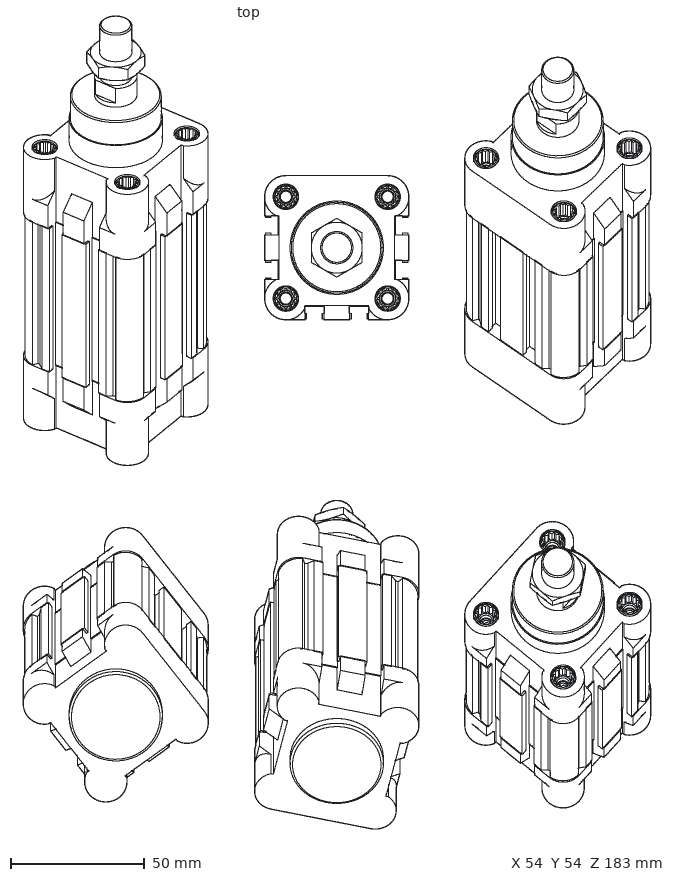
import cadquery as cq
import math

width = 54.0
half = width / 2
boss_dia = 16.0
boss_radius = boss_dia / 2
screw_spacing = half - boss_radius
slot_half = 11.9
slot_floor = 21.6

overall_height = 183.0
cap_bottom = 4.4
tube_bottom = 33.5
tube_top = 99.5
cap_top = 129.5
collar_top = 139.8
neck_top = 150.6
shoulder_top = 159.2

pad_height = 10.6
pad_slope_height = half - slot_floor
pad_overlap = 1.8
middle_pad_half = 4.8
side_pad_outer = 19.0

tube_half = 26.7
tube_slot_floor = 22.0
tube_corner_center = 18.3
tube_corner_radius = tube_half - tube_corner_center
rib_half = 5.5
strip_inner = 11.3
lip_thickness = 2.2
strip_outer = 14.8
groove_bend = (16.8, 25.0)
groove_bottom = (18.0, 24.7)
groove_outer = 19.2

collar_dia = 35.0
neck_dia = 34.0
neck_chamfer = 0.5
spigot_chamfer = 1.0

screw_hole_dia = 9.5
screw_head_dia = 9.0
screw_head_top_dia = 8.0
screw_head_sink = 0.2
screw_gap_depth = 1.8
socket_points = 12
socket_outer_dia = 7.7
socket_inner_dia = 6.2
socket_depth = 7.3
countersink_dia = 6.0
thread_dia = 5.0
thread_depth = 3.7
screw_core_dia = 4.2
screw_core_depth = 5.5
drill_tip_angle = 120.0

shoulder_dia = 16.0
rod_dia = 12.0
rod_chamfer = 0.5
flats_width = 13.0
flats_bottom = 152.6

nut_flats = 19.0
nut_bottom = 164.0
nut_height = 6.2
nut_chamfer = 0.7


def box(x_range, y_range, z_range):
    """Box between the given limits."""
    (x0, x1), (y0, y1), (z0, z1) = x_range, y_range, z_range
    return cq.Workplane("XY").box(x1 - x0, y1 - y0, z1 - z0, centered=False).translate((x0, y0, z0))


def disc(diameter, bottom, top):
    """Upright cylinder on the centre line."""
    return cq.Workplane("XY").workplane(offset=bottom).circle(diameter / 2).extrude(top - bottom)


def around(shape, angles):
    """The shape turned about the centre line to each of the angles, joined together."""
    turned = [shape.rotate((0, 0, 0), (0, 0, 1), angle) for angle in angles]
    joined = turned[0]
    for copy in turned[1:]:
        joined = joined.union(copy)
    return joined


def pad(x0, x1, tube_end, direction):
    """Pad on the -Y side that rises from the tube end and slopes back to the recess floor."""
    outer_end = tube_end + direction * pad_height
    inner_end = outer_end + direction * pad_slope_height
    root = -slot_floor + pad_overlap
    return (
        cq.Workplane("YZ", origin=(x0, 0, 0))
        .moveTo(-half, tube_end)
        .lineTo(-half, outer_end)
        .lineTo(-slot_floor, inner_end)
        .lineTo(root, inner_end)
        .lineTo(root, tube_end)
        .close()
        .extrude(x1 - x0)
    )


def end_cap(bottom, top, tube_end, direction):
    """End cap with four round corners, recesses on three sides and a flat +Y side."""
    height = top - bottom
    bosses = (
        cq.Workplane("XY").workplane(offset=bottom)
        .rect(2 * screw_spacing, 2 * screw_spacing, forConstruction=True)
        .vertices().circle(boss_radius).extrude(height)
    )
    core = box((-slot_floor, slot_floor), (-slot_floor, slot_floor), (bottom, top))
    back = box((-screw_spacing, screw_spacing), (0, half), (bottom, top))
    slot = box((-slot_half, slot_half), (-half, -slot_floor), (bottom, top))
    recessed_sides = (0, 90, -90)
    cap = core.union(bosses).union(back).cut(around(slot, recessed_sides))
    pads = (
        pad(-middle_pad_half, middle_pad_half, tube_end, direction)
        .union(pad(slot_half, side_pad_outer, tube_end, direction))
        .union(pad(-side_pad_outer, -slot_half, tube_end, direction))
    )
    return cap.union(around(pads, recessed_sides))


def tube():
    """Profile tube with round corners, V grooves beside them and a T-shaped slot pair on each side."""
    height = tube_top - tube_bottom
    body = cq.Workplane("XY").workplane(offset=tube_bottom).rect(2 * tube_half, 2 * tube_half).extrude(height)
    body = body.edges("|Z").fillet(tube_corner_radius)
    groove = (
        cq.Workplane("XY").workplane(offset=tube_bottom)
        .polyline([(strip_outer, -tube_half), (groove_bend[0], -groove_bend[1]),
                   (groove_bottom[0], -groove_bottom[1]), (groove_outer, -tube_half)])
        .close().extrude(height)
    )
    z_range = (tube_bottom, tube_top)
    opening = box((rib_half, strip_inner), (-tube_half, -tube_slot_floor), z_range)
    undercut = box((middle_pad_half, slot_half), (lip_thickness - tube_half, -tube_slot_floor), z_range)
    right_cuts = groove.union(opening).union(undercut)
    cuts = right_cuts.union(right_cuts.mirror("YZ"))
    return body.cut(around(cuts, (0, 90, 180, 270)))


def screw_recesses():
    """Recesses in the four corners of the upper cap; each leaves the head of a corner screw standing in it."""
    head_radius = screw_head_dia / 2
    head_top_radius = screw_head_top_dia / 2
    hole_radius = screw_hole_dia / 2
    head_top = cap_top - screw_head_sink
    gap_floor = head_top - screw_gap_depth
    gap = (
        cq.Workplane("XZ")
        .polyline([(0, cap_top), (hole_radius, cap_top), (hole_radius, gap_floor), (head_radius, gap_floor),
                   (head_radius, head_top - (head_radius - head_top_radius)), (head_top_radius, head_top),
                   (0, head_top)])
        .close().revolve(360, (0, 0, 0), (0, 1, 0))
    )
    socket_floor = head_top - socket_depth
    half_pitch = math.pi / socket_points
    radii = (socket_outer_dia / 2, socket_inner_dia / 2)
    star = [
        (radii[i % 2] * math.cos(i * half_pitch), radii[i % 2] * math.sin(i * half_pitch))
        for i in range(2 * socket_points)
    ]
    socket = cq.Workplane("XY").workplane(offset=socket_floor).polyline(star).close().extrude(socket_depth)
    core_radius = screw_core_dia / 2
    thread_radius = thread_dia / 2
    countersink_radius = countersink_dia / 2
    thread_top = socket_floor - (countersink_radius - thread_radius)
    thread_floor = socket_floor - thread_depth
    core_floor = socket_floor - screw_core_depth
    tip_height = core_radius / math.tan(math.radians(drill_tip_angle / 2))
    core = (
        cq.Workplane("XZ")
        .polyline([(0, socket_floor), (countersink_radius, socket_floor), (thread_radius, thread_top),
                   (thread_radius, thread_floor), (core_radius, thread_floor), (core_radius, core_floor),
                   (0, core_floor - tip_height)])
        .close().revolve(360, (0, 0, 0), (0, 1, 0))
    )
    recess = gap.union(socket).union(core).translate((screw_spacing, screw_spacing, 0))
    return around(recess, (0, 90, 180, 270))


def make_housing():
    collar = disc(collar_dia, cap_top, collar_top)
    neck = disc(neck_dia, collar_top, neck_top).faces(">Z").chamfer(neck_chamfer)
    spigot = disc(collar_dia, 0, cap_bottom).faces("<Z").chamfer(spigot_chamfer)
    return (
        tube()
        .union(end_cap(cap_bottom, tube_bottom, tube_bottom, -1))
        .union(end_cap(tube_top, cap_top, tube_top, 1))
        .union(collar).union(neck).union(spigot)
        .cut(screw_recesses())
    )


def make_rod():
    """Rod end that stands on the neck, with two wrench flats on its shoulder."""
    shoulder = disc(shoulder_dia, neck_top, shoulder_top)
    flat_cut = box(
        (-shoulder_dia, shoulder_dia), (-shoulder_dia, -flats_width / 2), (flats_bottom, shoulder_top)
    )
    shoulder = shoulder.cut(around(flat_cut, (0, 180)))
    stud = disc(rod_dia, shoulder_top, overall_height).faces(">Z").chamfer(rod_chamfer)
    return shoulder.union(stud)


def make_nut():
    """Hexagon nut with two corners along Y, chamfered top and bottom by a cone."""
    corner_radius = nut_flats / math.sqrt(3)
    hexagon = (
        cq.Workplane("XY").workplane(offset=nut_bottom)
        .polygon(6, 2 * corner_radius).extrude(nut_height)
        .rotate((0, 0, 0), (0, 0, 1), 90)
    )
    envelope = disc(2 * corner_radius, nut_bottom, nut_bottom + nut_height)
    rim = corner_radius - nut_flats / 2
    envelope = envelope.faces("<Z or >Z").chamfer(nut_chamfer, rim)
    bore = disc(rod_dia, nut_bottom, nut_bottom + nut_height)
    return hexagon.intersect(envelope).cut(bore)


housing = make_housing()
rod = make_rod()
nut = make_nut()

result = cq.Compound.makeCompound([housing.val(), rod.val(), nut.val()])